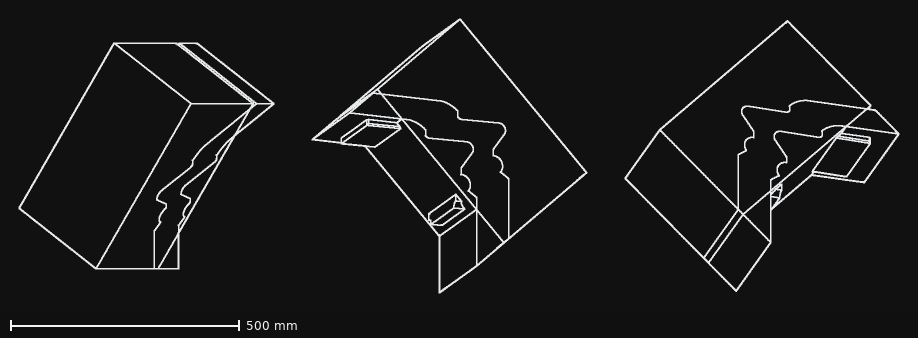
import cadquery as cq

WIDTH = 238.0
BLOCK_LENGTH = 436.0
BLOCK_DEPTH = 262.0
BLOCK_CENTER = (-32.5, 29.5)
TILT = 47.4

TIP = (277.0, 42.0)
SLOPE_START = (137.5, 39.0)
SHOULDER_MID = (116.0, 32.0)
SHOULDER_END = 19.5
STEP_WALL = 99.0
ROOT_START = 6.5
ROOT_MID = (96.0, 3.5)
ROOT_END = 89.5
STEP_LEVEL = 1.5
NOSE_START = 5.5
NOSE_MID = (-9.0, -5.0)
NOSE_END = (-10.5, -20.5)
NECK_WALL = 16.5
NECK_TOP = -59.5
NECK_BOTTOM = -73.5
BEAD_MID = (-3.0, -86.0)
BEAD_END = (-0.5, -109.0)
WALL_TOP = (-19.5, -122.5)
LAYER_SHIFT = (-75.0, 49.5)

LUG_INSET = 33.5
LUG_WIDTH = WIDTH - 2 * LUG_INSET
UPPER_LUG_END = 223.0
UPPER_LUG_BOTTOM = 28.0
UPPER_LUG_TOP = 50.0
UPPER_LUG_ROOT = 128.0
UPPER_LUG_CHAMFER = 3.5
LOWER_LUG_FACE = NECK_WALL
LOWER_LUG_BOTTOM = -138.0
LOWER_LUG_TOP = -100.0
LOWER_LUG_ROOT = -16.5
LOWER_LUG_COVE = 13.0

REACH = 334.0


def tilted_box(length, depth):
    """Full-width box centred on the block and tilted with it."""
    box = cq.Workplane("XY").box(WIDTH, length, depth)
    center_y, center_z = BLOCK_CENTER
    return box.rotate((0, 0, 0), (1, 0, 0), TILT).translate((0, center_y, center_z))


def below_profile():
    """Everything on the inner side of the inner parting profile."""
    lead_slope = (TIP[1] - SLOPE_START[1]) / (TIP[0] - SLOPE_START[0])
    far_lead = (TIP[0] + REACH, TIP[1] + lead_slope * REACH)
    far_bottom = WALL_TOP[1] - REACH
    return (
        cq.Workplane("YZ", origin=(-WIDTH / 2, 0, 0))
        .moveTo(*far_lead)
        .lineTo(*SLOPE_START)
        .threePointArc(SHOULDER_MID, (STEP_WALL, SHOULDER_END))
        .lineTo(STEP_WALL, ROOT_START)
        .threePointArc(ROOT_MID, (ROOT_END, STEP_LEVEL))
        .lineTo(NOSE_START, STEP_LEVEL)
        .threePointArc(NOSE_MID, NOSE_END)
        .lineTo(NECK_WALL, NECK_TOP)
        .lineTo(NECK_WALL, NECK_BOTTOM)
        .threePointArc(BEAD_MID, BEAD_END)
        .lineTo(*WALL_TOP)
        .lineTo(WALL_TOP[0], far_bottom)
        .lineTo(far_lead[0], far_bottom)
        .close()
        .extrude(WIDTH)
    )


def lug_box(y_min, y_max, z_min, z_max):
    """Box centred on X that spans the given Y and Z ranges."""
    box = cq.Workplane("XY").box(LUG_WIDTH, y_max - y_min, z_max - z_min)
    return box.translate((0, (y_min + y_max) / 2, (z_min + z_max) / 2))


def upper_lug():
    """Flat lug under the upper tip, chamfered along its bottom and free end."""
    lug = lug_box(UPPER_LUG_ROOT, UPPER_LUG_END, UPPER_LUG_BOTTOM, UPPER_LUG_TOP)
    lug = lug.faces("<X or >X").edges("<Z or >Y").chamfer(UPPER_LUG_CHAMFER)
    return lug.intersect(inner_side)


def lower_lug():
    """Lug beside the lower wall, with a cove along both bottom edges."""
    lug = lug_box(LOWER_LUG_ROOT, LOWER_LUG_FACE, LOWER_LUG_BOTTOM, LOWER_LUG_TOP)
    coves = (
        cq.Workplane("XZ", origin=(0, LOWER_LUG_FACE, 0))
        .pushPoints([(-LUG_WIDTH / 2, LOWER_LUG_BOTTOM), (LUG_WIDTH / 2, LOWER_LUG_BOTTOM)])
        .circle(LOWER_LUG_COVE)
        .extrude(LOWER_LUG_FACE - LOWER_LUG_ROOT)
    )
    return lug.cut(coves).intersect(inner_side)


block = tilted_box(BLOCK_LENGTH, BLOCK_DEPTH)
end_planes = tilted_box(BLOCK_LENGTH, 2 * REACH)
inner_side = below_profile()
outer_side = inner_side.translate((0, *LAYER_SHIFT))

housing = block.cut(outer_side)

band = outer_side.cut(inner_side).intersect(end_planes)
layer = band.intersect(block)

core = block.intersect(inner_side).union(upper_lug()).union(lower_lug())

tips = band.cut(block)

result = cq.Compound.makeCompound(
    [
        housing.solids().val(),
        layer.solids().val(),
        core.solids().val(),
        *tips.solids().vals(),
    ]
)